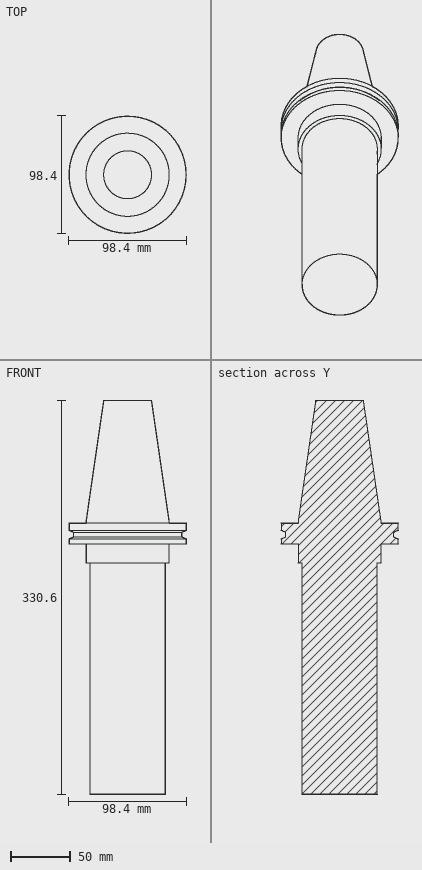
import cadquery as cq
import math

overall_length = 330.6
taper_length = 101.6
gauge_projection = overall_length - taper_length
gauge_diameter = 69.85
taper_rate = 7.0 / 24.0
taper_tip_diameter = gauge_diameter - taper_rate * taper_length

flange_diameter = 98.43
flange_top = -1.5
flange_bottom = -19.05
groove_floor_diameter = 91.29
groove_wall_angle = 23.0
groove_center = -11.15
groove_rim_width = 6.9
groove_top = groove_center + groove_rim_width / 2
groove_bottom = groove_center - groove_rim_width / 2

collar_diameter = gauge_diameter
collar_bottom = -35.0
body_diameter = 63.27
body_bottom = -gauge_projection


def make_taper():
    """Truncated cone from the gauge plane to the tip."""
    return (
        cq.Workplane("XY")
        .circle(gauge_diameter / 2)
        .workplane(offset=taper_length)
        .circle(taper_tip_diameter / 2)
        .loft(ruled=True)
    )


def make_cylinder(diameter, bottom, top):
    """Solid cylinder about Z between two heights."""
    return cq.Workplane("XY").workplane(offset=bottom).circle(diameter / 2).extrude(top - bottom)


def make_grooved_flange():
    """Flange disc whose rim carries a groove with a flat floor and sloped walls."""
    rim_radius = flange_diameter / 2
    floor_radius = groove_floor_diameter / 2
    wall_height = (rim_radius - floor_radius) * math.tan(math.radians(groove_wall_angle))
    profile = [
        (0, flange_bottom),
        (rim_radius, flange_bottom),
        (rim_radius, groove_bottom),
        (floor_radius, groove_bottom + wall_height),
        (floor_radius, groove_top - wall_height),
        (rim_radius, groove_top),
        (rim_radius, flange_top),
        (0, flange_top),
    ]
    return cq.Workplane("XZ").polyline(profile).close().revolve(360, (0, 0, 0), (0, 1, 0))


taper = make_taper()
gauge_land = make_cylinder(gauge_diameter, flange_top, 0)
flange = make_grooved_flange()
collar = make_cylinder(collar_diameter, collar_bottom, flange_bottom)
body = make_cylinder(body_diameter, body_bottom, collar_bottom)

result = taper.union(gauge_land).union(flange).union(collar).union(body)